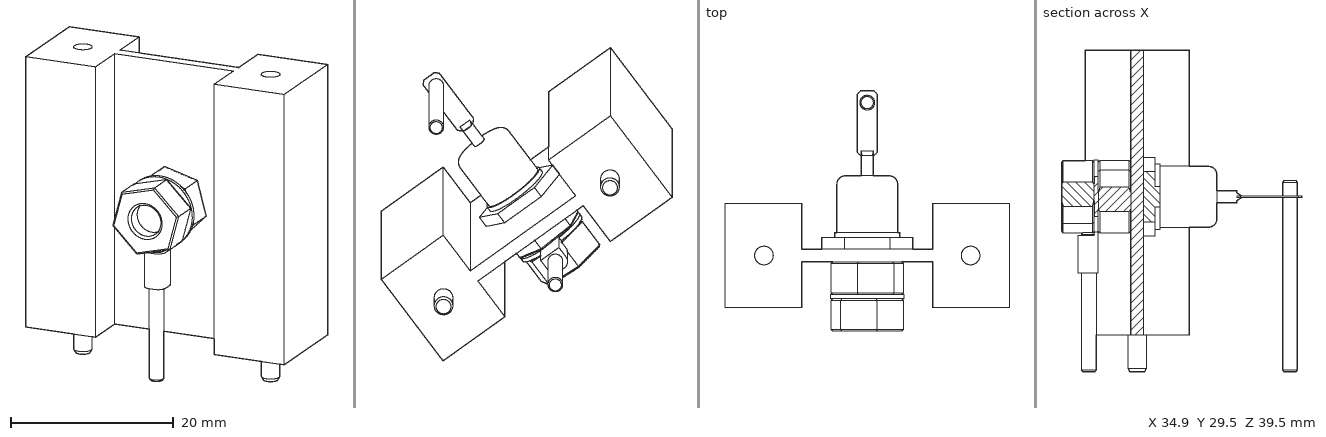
import cadquery as cq
import math


HOUSING_WIDTH = 34.9
HOUSING_DEPTH = 12.8
HOUSING_HEIGHT = 35.0
POST_WIDTH = 9.45
WEB_THICKNESS = 1.58
WEB_WIDTH = HOUSING_WIDTH - 2 * POST_WIDTH

OVERALL_HEIGHT = 39.5
PIN_PROTRUSION = OVERALL_HEIGHT - HOUSING_HEIGHT
GUIDE_PIN_DIAMETER = 2.3
GUIDE_PIN_OFFSET = 12.68
GUIDE_PIN_EMBEDMENT = HOUSING_HEIGHT / 2
GUIDE_PIN_TIP_DIAMETER = 1.8
GUIDE_PIN_TIP_LENGTH = 0.45

DIODE_HEIGHT = 17.0
FLANGE_ACROSS_CORNERS = 11.18
FLANGE_THICKNESS = 1.42
COLLAR_DIAMETER = 8.0
COLLAR_LENGTH = 0.6
CAN_DIAMETER = 7.5
CAN_LENGTH = 7.0
CAN_FILLET = 1.05
LEAD_DIAMETER = 1.5
LEAD_LENGTH = 2.45
LUG_LENGTH = 7.98
LUG_WIDTH = 2.5
LUG_THICKNESS = 0.2
LUG_CORNER = 0.45
TAPER_LENGTH = 0.6
TAPER_ROOT_HEIGHT = 0.95
STUD_DIAMETER = 4.0
STUD_RECESS = 2.0

NUT_ACROSS_FLATS = 7.98
NUT_ACROSS_CORNERS = NUT_ACROSS_FLATS / math.cos(math.radians(30))
NUT_THICKNESS = 4.0
NUT_EDGE_CHAMFER = 0.2
NUT_BORE_CHAMFER = 0.3
INNER_NUT_TURN = -15.0
OUTER_NUT_TURN = 15.0

RING_DIAMETER = 9.1
RING_THICKNESS = 0.5
BARREL_WIDTH = 2.75
BARREL_DEPTH = 2.5
BARREL_FILLET = 1.03
BARREL_TOP = 12.25
BARREL_BOTTOM = 7.62

CONTACT_PIN_DIAMETER = 1.8
CONTACT_TIP_DIAMETER = 1.5
CONTACT_TIP_LENGTH = 0.25
FRONT_CONTACT_Y = -5.92
FRONT_CONTACT_TOP = 12.6
REAR_CONTACT_Y = 18.75
REAR_CONTACT_TOP = 19.0

WEB_BACK = WEB_THICKNESS / 2
WEB_FRONT = -WEB_BACK
FLANGE_BACK = WEB_BACK + FLANGE_THICKNESS
COLLAR_BACK = FLANGE_BACK + COLLAR_LENGTH
CAN_BACK = COLLAR_BACK + CAN_LENGTH
LUG_START = CAN_BACK + LEAD_LENGTH
RING_BACK = WEB_FRONT - NUT_THICKNESS
RING_FRONT = RING_BACK - RING_THICKNESS
OUTER_NUT_FRONT = RING_FRONT - NUT_THICKNESS
STUD_END = OUTER_NUT_FRONT + STUD_RECESS


def section_at(y):
    """Sketch plane across the diode axis; extruding runs toward -Y."""
    return cq.Workplane("XZ", origin=(0, y, DIODE_HEIGHT))


def axial_cylinder(diameter, y_back, y_front):
    return section_at(y_back).circle(diameter / 2).extrude(y_back - y_front)


def upright_cylinder(diameter, x, y, z_bottom, z_top):
    base = cq.Workplane("XY", origin=(x, y, z_bottom))
    return base.circle(diameter / 2).extrude(z_top - z_bottom)


def make_housing():
    block = cq.Workplane("XY").box(HOUSING_WIDTH, HOUSING_DEPTH, HOUSING_HEIGHT, centered=(True, True, False))
    gap = cq.Workplane("XY").box(WEB_WIDTH, HOUSING_DEPTH, HOUSING_HEIGHT, centered=(True, True, False))
    web = cq.Workplane("XY").box(WEB_WIDTH, WEB_THICKNESS, HOUSING_HEIGHT, centered=(True, True, False))
    body = block.cut(gap).union(web)
    for side in (-1, 1):
        body = body.cut(
            upright_cylinder(GUIDE_PIN_DIAMETER, side * GUIDE_PIN_OFFSET, 0, 0, HOUSING_HEIGHT)
        )
    return body.cut(axial_cylinder(STUD_DIAMETER, WEB_BACK, WEB_FRONT))


def make_guide_pin(x):
    pin = upright_cylinder(GUIDE_PIN_DIAMETER, x, 0, -PIN_PROTRUSION, GUIDE_PIN_EMBEDMENT)
    tip_inset = (GUIDE_PIN_DIAMETER - GUIDE_PIN_TIP_DIAMETER) / 2
    return pin.faces("<Z").chamfer(GUIDE_PIN_TIP_LENGTH, tip_inset)


def make_contact_pin(y, z_top):
    pin = upright_cylinder(CONTACT_PIN_DIAMETER, 0, y, -PIN_PROTRUSION, z_top)
    tip_inset = (CONTACT_PIN_DIAMETER - CONTACT_TIP_DIAMETER) / 2
    for end in ("<Z", ">Z"):
        pin = pin.faces(end).chamfer(CONTACT_TIP_LENGTH, tip_inset)
    return pin


def make_lead_taper():
    """Wedge that flattens the round lead down to the lug."""
    wedge = (
        cq.Workplane("YZ", origin=(0, 0, DIODE_HEIGHT))
        .polyline([
            (LUG_START, -TAPER_ROOT_HEIGHT / 2),
            (LUG_START + TAPER_LENGTH, -LUG_THICKNESS / 2),
            (LUG_START + TAPER_LENGTH, LUG_THICKNESS / 2),
            (LUG_START, TAPER_ROOT_HEIGHT / 2),
        ])
        .close()
        .extrude(LEAD_DIAMETER / 2, both=True)
    )
    return wedge.intersect(axial_cylinder(LEAD_DIAMETER, LUG_START + TAPER_LENGTH, LUG_START))


def make_lug():
    lug = (
        cq.Workplane("XY", origin=(0, LUG_START + LUG_LENGTH / 2, DIODE_HEIGHT))
        .box(LUG_WIDTH, LUG_LENGTH, LUG_THICKNESS)
        .edges("|Z")
        .chamfer(LUG_CORNER)
    )
    return lug.cut(
        upright_cylinder(CONTACT_PIN_DIAMETER, 0, REAR_CONTACT_Y, 0, REAR_CONTACT_TOP)
    )


def make_diode():
    flange = section_at(FLANGE_BACK).polygon(6, FLANGE_ACROSS_CORNERS).extrude(FLANGE_THICKNESS)
    collar = axial_cylinder(COLLAR_DIAMETER, COLLAR_BACK, FLANGE_BACK)
    can = axial_cylinder(CAN_DIAMETER, CAN_BACK, COLLAR_BACK).faces(">Y").edges().fillet(CAN_FILLET)
    lead = axial_cylinder(LEAD_DIAMETER, LUG_START, CAN_BACK)
    stud = axial_cylinder(STUD_DIAMETER, WEB_BACK, STUD_END)
    body = flange.union(collar).union(can).union(lead).union(stud)
    return body.union(make_lug()).union(make_lead_taper())


def make_nut(y_back, turn):
    nut = section_at(y_back).polygon(6, NUT_ACROSS_CORNERS).extrude(NUT_THICKNESS)
    nut = nut.faces("<Y or >Y").chamfer(NUT_EDGE_CHAMFER)
    nut = nut.cut(axial_cylinder(STUD_DIAMETER, y_back, y_back - NUT_THICKNESS))
    nut = nut.edges("%CIRCLE").chamfer(NUT_BORE_CHAMFER)
    return nut.rotate((0, 0, DIODE_HEIGHT), (0, -1, DIODE_HEIGHT), turn)


def make_ring_terminal():
    ring = axial_cylinder(RING_DIAMETER, RING_BACK, RING_FRONT)
    tongue = (
        cq.Workplane("XY", origin=(0, RING_BACK, BARREL_BOTTOM))
        .box(BARREL_WIDTH, RING_THICKNESS, DIODE_HEIGHT - BARREL_BOTTOM, centered=(True, False, False))
        .translate((0, -RING_THICKNESS, 0))
    )
    barrel = (
        cq.Workplane("XY", origin=(0, RING_BACK - BARREL_DEPTH / 2, BARREL_BOTTOM))
        .box(BARREL_WIDTH, BARREL_DEPTH, BARREL_TOP - BARREL_BOTTOM, centered=(True, True, False))
        .edges("|Z and <Y")
        .fillet(BARREL_FILLET)
    )
    terminal = ring.union(tongue).union(barrel)
    terminal = terminal.cut(axial_cylinder(STUD_DIAMETER, RING_BACK, RING_FRONT))
    return terminal.cut(make_contact_pin(FRONT_CONTACT_Y, FRONT_CONTACT_TOP))


housing = make_housing()
guide_pins = [make_guide_pin(side * GUIDE_PIN_OFFSET) for side in (-1, 1)]
contact_pins = [
    make_contact_pin(y, z_top)
    for y, z_top in ((FRONT_CONTACT_Y, FRONT_CONTACT_TOP), (REAR_CONTACT_Y, REAR_CONTACT_TOP))
]
diode = make_diode()
nuts = [
    make_nut(y_back, turn)
    for y_back, turn in ((WEB_FRONT, INNER_NUT_TURN), (RING_FRONT, OUTER_NUT_TURN))
]
ring_terminal = make_ring_terminal()

result = cq.Compound.makeCompound([
    housing.solids().val(),
    *[pin.solids().val() for pin in guide_pins],
    *[pin.solids().val() for pin in contact_pins],
    diode.solids().val(),
    *[nut.solids().val() for nut in nuts],
    ring_terminal.solids().val(),
])